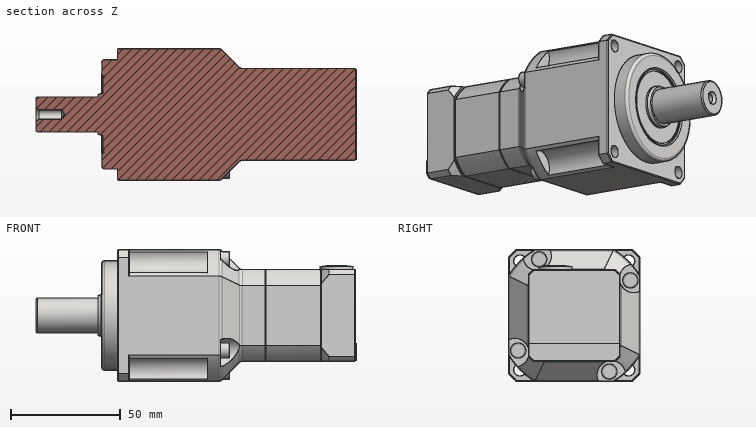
import cadquery as cq
import math


shaft_d = 16.0
shaft_chamfer = 0.6
centre_hole_d = 4.2
centre_hole_mouth_d = 6.0
centre_hole_mouth_depth = 1.5
centre_hole_depth = 11.7
drill_point_angle = 118.0

collar_start = 28.2
collar_end = 29.6
collar_front_d = 18.1
collar_rear_d = 19.3

pilot_start = 30.0
pilot_d = 50.0
pilot_edge = 1.3
seal_bore_d = 35.0
seal_bore_depth = 1.0
seal_bore_chamfer = 0.6
seal_d = 33.3
seal_setback = 0.6

flange_start = 37.1
flange_end = 42.6
flange_size = 60.0
flange_corner = 3.5
flange_edge = 0.5
flange_hole_d = 5.5
flange_hole_spacing = 49.5

housing_start = (flange_start + flange_end) / 2
housing_end = 84.1
housing_corner_d = 70.0
stage_size = 41.9
stage_corner_d = 50.0
taper_end = housing_end + (flange_size - stage_size) / 2
stage_end = 129.5
blend_radius = 1.9

groove_d = 14.0
groove_axis_radius = 36.5
groove_end = 78.1

screw_count = 4
screw_angle = 32.0
screw_circle_d = 60.3
screw_head_d = 7.0
screw_head_height = 4.1
screw_head_edge = 0.5
recess_d = 13.0
recess_circle_d = 63.8

joint_position = 104.4
joint_width = 0.5
joint_depth = 0.1

adapter_start = 130.1
adapter_end = 145.5
adapter_corner_d = 56.0
adapter_front_d = 51.1
adapter_taper_end = 133.5
adapter_edge = 0.5
neck_depth = 0.3

pad_end = 146.0
pad_bottom = -20.6
pad_top = -12.8

plug_x = 137.0
plug_y = -8.6
plug_d = 15.0
plug_height = 1.3
plug_top_d = 8.5
plug_crown = 0.5


def turned(profile):
    """Solid of revolution about X from (position, radius) points, closed along the axis."""
    points = [(profile[0][0], 0), *profile]
    if profile[-1][1] > 0:
        points.append((profile[-1][0], 0))
    return cq.Workplane("XY").polyline(points).close().revolve(360, (0, 0, 0), (1, 0, 0))


def cylinder(start, end, diameter, y=0, z=0):
    """Cylinder along X, centred at (y, z)."""
    return cq.Workplane("YZ", origin=(start, y, z)).circle(diameter / 2).extrude(end - start)


def square_bar(start, end, size):
    """Square bar along X, centred on the axis."""
    return cq.Workplane("YZ", origin=(start, 0, 0)).rect(size, size).extrude(end - start)


def turned_square(start, end, size, corner_d):
    """Square bar whose corners lie on a cylinder around the axis."""
    return square_bar(start, end, size).intersect(cylinder(start, end, corner_d))


def polar(radius, angle):
    """The (y, z) point at a radius and an angle in degrees around the axis."""
    turn = math.radians(angle)
    return radius * math.cos(turn), radius * math.sin(turn)


def make_shaft():
    shaft = cylinder(0, flange_start, shaft_d).faces("<X").chamfer(shaft_chamfer)
    collar = turned([
        (collar_start, collar_front_d / 2),
        (collar_end, collar_rear_d / 2),
        (flange_start, collar_rear_d / 2),
    ])
    point_length = centre_hole_d / 2 / math.tan(math.radians(drill_point_angle / 2))
    centre_hole = turned([
        (0, centre_hole_mouth_d / 2),
        (centre_hole_mouth_depth, centre_hole_d / 2),
        (centre_hole_depth, centre_hole_d / 2),
        (centre_hole_depth + point_length, 0),
    ])
    return shaft.union(collar).cut(centre_hole)


def make_pilot():
    pilot = cylinder(pilot_start, flange_start, pilot_d).faces("<X").edges().fillet(pilot_edge)
    seal_bore = turned([
        (pilot_start, seal_bore_d / 2 + seal_bore_chamfer),
        (pilot_start + seal_bore_chamfer, seal_bore_d / 2),
        (pilot_start + seal_bore_depth, seal_bore_d / 2),
    ])
    seal = cylinder(pilot_start + seal_setback, flange_start, seal_d)
    return pilot.cut(seal_bore).union(seal)


def make_flange():
    flange = square_bar(flange_start, flange_end, flange_size)
    flange = flange.edges("|X").chamfer(flange_corner)
    return flange.faces("<X or >X").edges().chamfer(flange_edge)


def make_flange_holes():
    return (
        cq.Workplane("YZ", origin=(flange_start, 0, 0))
        .rect(flange_hole_spacing, flange_hole_spacing, forConstruction=True)
        .vertices()
        .circle(flange_hole_d / 2)
        .extrude(flange_end - flange_start)
    )


def stepped_profile(front_half, rear_half):
    """Points along the housing, its taper and the gear stage, as half widths."""
    return [
        (housing_start, front_half),
        (housing_end, front_half),
        (taper_end, rear_half),
        (stage_end, rear_half),
    ]


def blend_taper(solid, edges):
    """Round the two edges across the axis where the taper begins and ends."""
    reach = flange_size
    for position in (housing_end, taper_end):
        front = position - blend_radius / 2
        rear = position + blend_radius / 2
        box = cq.selectors.BoxSelector((front, -reach, -reach), (rear, reach, reach))
        solid = solid.edges(edges).edges(box).fillet(blend_radius)
    return solid


def make_housing():
    upper = stepped_profile(flange_size / 2, stage_size / 2)
    lower = [(x, -half) for x, half in reversed(upper)]
    flats = (
        cq.Workplane("XZ")
        .polyline(upper + lower)
        .close()
        .extrude(flange_size / 2, both=True)
    )
    flats = blend_taper(flats, "|Y")
    sides = flats.rotate((0, 0, 0), (1, 0, 0), 90)
    corners = turned(stepped_profile(housing_corner_d / 2, stage_corner_d / 2))
    corners = blend_taper(corners, "%CIRCLE")
    return flats.intersect(sides).intersect(corners)


def cut_corner_grooves(housing):
    for angle in (45, 135, 225, 315):
        y, z = polar(groove_axis_radius, angle)
        housing = housing.cut(cylinder(flange_end, groove_end, groove_d, y, z))
    return housing


def add_screws(housing):
    angles = [screw_angle + 360 / screw_count * index for index in range(screw_count)]
    for angle in angles:
        y, z = polar(recess_circle_d / 2, angle)
        housing = housing.cut(cylinder(housing_end, stage_end, recess_d, y, z))
    for angle in angles:
        y, z = polar(screw_circle_d / 2, angle)
        head_end = housing_end + screw_head_height
        head = cylinder(housing_end, head_end, screw_head_d, y, z)
        housing = housing.union(head.faces(">X").edges().fillet(screw_head_edge))
    return housing


def cut_joint_line(housing):
    end = joint_position + joint_width
    ring = square_bar(joint_position, end, flange_size)
    core = turned_square(joint_position, end, stage_size - 2 * joint_depth, stage_corner_d - 2 * joint_depth)
    return housing.cut(ring.cut(core))


def make_adapter():
    neck = turned_square(stage_end, adapter_start, stage_size - 2 * neck_depth, stage_corner_d - 2 * neck_depth)
    block = turned_square(adapter_start, adapter_end, stage_size, adapter_corner_d)
    block = block.faces(">X").edges().chamfer(adapter_edge)
    tapered_corners = turned([
        (adapter_start, adapter_front_d / 2),
        (adapter_taper_end, adapter_corner_d / 2),
        (adapter_end, adapter_corner_d / 2),
    ])
    return block.intersect(tapered_corners).union(neck)


def make_pad():
    inset = 2 * adapter_edge
    outline = turned_square(adapter_end, pad_end, stage_size - inset, adapter_corner_d - inset)
    band = (
        cq.Workplane("XY", origin=(adapter_end, 0, pad_bottom))
        .rect(2 * (pad_end - adapter_end), stage_size)
        .extrude(pad_top - pad_bottom)
    )
    return outline.intersect(band)


def make_plug():
    top = plug_height + plug_crown
    outline = [(0, 0), (plug_d / 2, 0), (plug_d / 2, plug_height), (plug_top_d / 2, top), (0, top)]
    plug = cq.Workplane("XZ").polyline(outline).close().revolve(360, (0, 0, 0), (0, 1, 0))
    return plug.translate((plug_x, plug_y, stage_size / 2))


housing = make_housing()
housing = cut_corner_grooves(housing)
housing = add_screws(housing)
housing = cut_joint_line(housing)

result = (
    make_flange()
    .union(make_pilot())
    .union(make_shaft())
    .union(housing)
    .union(make_adapter())
    .union(make_pad())
    .union(make_plug())
    .cut(make_flange_holes())
)